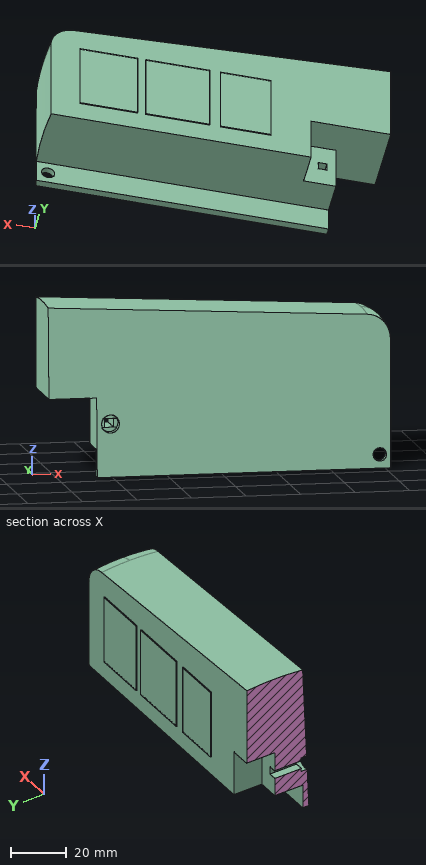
import cadquery as cq
import math


length = 126.19
height = 62.92
top_slope = 3.0
corner_radius = 9.7
notch_width = 17.5
notch_height = 29.0
rear_notch_step = 12.0

body_depth = 24.0
bottom_depth = 26.75
body_bottom = 10.0

seam_y = -body_depth / 2
crown_radius = 110.0
blank_margin = 1.0
trim_thickness = 15.0
overrun = 5.0

fastener_inset = 5.0
fastener_x = notch_width + fastener_inset
fastener_z = 19.4
counterbore_diameter = 6.5
counterbore_depth = 2.5
square_size = 3.2
slot_step = 0.3

plate_hole_diameter = 4.8
plate_hole_inset = 5.0

pad_height = 0.4
pad_root = 1.0
pad_bottom = 18.0
pad_length = 28.5
pads = [(44.4, 18.6), (67.0, 23.6), (93.6, 21.3)]


def box(x_range, y_range, z_range):
    """Box spanning three (low, high) ranges."""
    sizes = [high - low for low, high in (x_range, y_range, z_range)]
    corner = (x_range[0], y_range[0], z_range[0])
    return cq.Workplane("XY").box(*sizes, centered=False).translate(corner)


def make_blank():
    """Wedge with a vertical back and a leaning front, oversize at the top and +X end."""
    lean = (bottom_depth - body_depth) / height
    blank_top = height + blank_margin
    return (
        cq.Workplane("YZ")
        .moveTo(0, 0)
        .lineTo(-bottom_depth, 0)
        .lineTo(-bottom_depth + lean * blank_top, blank_top)
        .lineTo(0, blank_top)
        .close()
        .extrude(length + blank_margin)
    )


def crown_drop(y):
    """Distance the crowned rim falls below its crest at depth y."""
    offset = y - seam_y
    return crown_radius - math.sqrt(crown_radius**2 - offset**2)


def make_rim_trim():
    """Everything outside the crowned rim, swept along the top, corner and +X end."""
    slope = math.radians(top_slope)
    corner_x = length - corner_radius
    tangent_x = corner_x + corner_radius * math.sin(slope)
    tangent_z = height - tangent_x * math.tan(slope)
    corner_z = tangent_z - corner_radius * math.cos(slope)
    middle = (math.pi / 2 - slope) / 2
    middle_x = corner_x + corner_radius * math.cos(middle)
    middle_z = corner_z + corner_radius * math.sin(middle)

    start_x = -overrun
    start_z = height + overrun * math.tan(slope)
    path = (
        cq.Workplane("XZ")
        .moveTo(start_x, start_z)
        .lineTo(tangent_x, tangent_z)
        .threePointArc((middle_x, middle_z), (length, corner_z))
        .lineTo(length, -overrun)
    )

    section = cq.Plane(
        origin=(start_x, 0, start_z),
        xDir=(0, 1, 0),
        normal=(math.cos(slope), 0, -math.sin(slope)),
    )
    back_y = overrun
    front_y = -bottom_depth - overrun
    back_mid = (back_y + seam_y) / 2
    front_mid = (front_y + seam_y) / 2
    profile = (
        cq.Workplane(section)
        .moveTo(back_y, trim_thickness)
        .lineTo(back_y, -crown_drop(back_y))
        .threePointArc((back_mid, -crown_drop(back_mid)), (seam_y, 0))
        .threePointArc((front_mid, -crown_drop(front_mid)), (front_y, -crown_drop(front_y)))
        .lineTo(front_y, trim_thickness)
        .close()
    )
    return profile.sweep(path)


def make_notch():
    """Corner removed below the -X end, stepping wider behind the seam."""
    z_range = (-overrun, notch_height)
    full = box((-overrun, notch_width), (-bottom_depth - overrun, overrun), z_range)
    rear = box((-overrun, notch_width + rear_notch_step), (seam_y, overrun), z_range)
    return full.union(rear)


def make_plate_relief():
    """Space behind the cover plate, under the body."""
    return box((-overrun, length + overrun), (-body_depth, overrun), (-overrun, body_bottom))


def front_y_at(z):
    """Y of the leaning front face at height z."""
    return -bottom_depth + (bottom_depth - body_depth) * z / height


def make_fastener_hole():
    """Counterbore, then a slot across its floor, then a square hole to the back."""
    half = square_size / 2
    radius = counterbore_diameter / 2
    floor_y = front_y_at(fastener_z) + counterbore_depth
    slot_y = floor_y + slot_step
    bore = (
        cq.Workplane("XZ", origin=(fastener_x, slot_y, fastener_z))
        .circle(radius)
        .extrude(slot_step + counterbore_depth + overrun)
    )
    bore_x = (fastener_x - radius, fastener_x + radius)
    square_x = (fastener_x - half, fastener_x + half)
    square_z = (fastener_z - half, fastener_z + half)
    upper_ledge = box(bore_x, (floor_y, slot_y), (square_z[1], fastener_z + radius))
    lower_ledge = box(bore_x, (floor_y, slot_y), (fastener_z - radius, square_z[0]))
    square = box(square_x, (floor_y, overrun), square_z)
    return bore.cut(upper_ledge).cut(lower_ledge).union(square)


def make_plate_hole():
    """Round hole through the cover plate near its lower +X corner."""
    return (
        cq.Workplane("XZ", origin=(length - plate_hole_inset, 0, plate_hole_inset))
        .circle(plate_hole_diameter / 2)
        .extrude(bottom_depth + overrun)
    )


def make_pads():
    """Low raised pads in a row on the back."""
    z_range = (pad_bottom, pad_bottom + pad_length)
    row = cq.Workplane()
    for start, width in pads:
        row = row.add(box((start, start + width), (-pad_root, pad_height), z_range))
    return row.combine()


result = (
    make_blank()
    .cut(make_rim_trim())
    .cut(make_notch())
    .cut(make_plate_relief())
    .union(make_pads())
    .cut(make_fastener_hole())
    .cut(make_plate_hole())
)